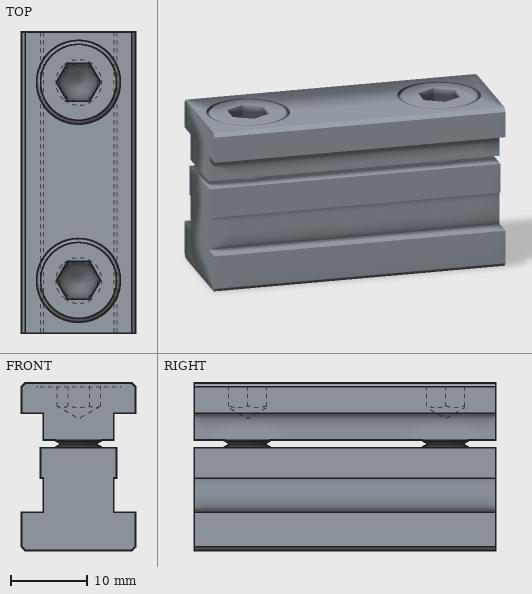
import cadquery as cq
import math

length = 39.6
width = 15.0
height = 22.0
edge_chamfer = 0.5

foot_height = 5.03
neck_width = 9.25
rail_width = 10.0
rail_height = 4.0
nut_height = 13.5

flange_height = 4.0
gap = 1.0
plate_bottom = nut_height + gap

screw_pitch = 26.0
first_screw_from_back = 6.6
first_screw_y = length / 2 - first_screw_from_back
screw_positions = [(0, first_screw_y), (0, first_screw_y - screw_pitch)]
head_diameter = 11.0
head_chamfer = 0.5
thread_diameter = 6.0
thread_pitch = gap
crest_land = thread_pitch / 8
root_land = thread_pitch / 4
thread_flank_angle = 30.0
socket_across_flats = 5.0
socket_depth = 3.0
socket_cone_angle = 120.0


def at_each_screw(feature):
    """Copies of a feature built on the Z axis, one on each screw axis."""
    screw_axes = cq.Workplane("XY").pushPoints(screw_positions)
    return screw_axes.eachpoint(lambda place: feature.val().moved(place))


def revolved(profile):
    """Solid of revolution about Z from an (r, z) profile."""
    section = cq.Workplane("XZ").polyline(profile).close()
    return section.revolve(360, (0, 0, 0), (0, 1, 0))


def stepped_bar(profile):
    """Bar along Y from the right half of its (x, z) profile, mirrored in X."""
    mirrored = [(-x, z) for x, z in reversed(profile)]
    section = cq.Workplane("XZ").polyline(profile + mirrored).close()
    return section.extrude(length / 2, both=True)


def clamping_nut():
    return stepped_bar([
        (width / 2 - edge_chamfer, 0),
        (width / 2, edge_chamfer),
        (width / 2, foot_height),
        (neck_width / 2, foot_height),
        (neck_width / 2, nut_height - rail_height),
        (rail_width / 2, nut_height - rail_height),
        (rail_width / 2, nut_height),
    ])


def clamping_plate():
    return stepped_bar([
        (neck_width / 2, plate_bottom),
        (neck_width / 2, height - flange_height),
        (width / 2, height - flange_height),
        (width / 2, height - edge_chamfer),
        (width / 2 - edge_chamfer, height),
    ])


def threaded_shanks():
    """Shanks across the gap, each with one thread groove, flat at its root."""
    flank_height = (thread_pitch - crest_land - root_land) / 2
    crest = thread_diameter / 2
    root = crest - flank_height / math.tan(math.radians(thread_flank_angle))
    groove_middle = nut_height + gap / 2
    lower_root = groove_middle - root_land / 2
    upper_root = groove_middle + root_land / 2
    shank = revolved([
        (0, nut_height),
        (crest, nut_height),
        (crest, lower_root - flank_height),
        (root, lower_root),
        (root, upper_root),
        (crest, upper_root + flank_height),
        (crest, plate_bottom),
        (0, plate_bottom),
    ])
    return at_each_screw(shank)


def head_grooves():
    """Ring grooves left between the straight bores and the chamfered screw heads."""
    outer = head_diameter / 2
    ring = revolved([
        (outer, height - head_chamfer),
        (outer, height),
        (outer - head_chamfer, height),
    ])
    return at_each_screw(ring)


def hex_sockets():
    """Hexagon sockets with corners along X and a conical, drilled bottom."""
    across_corners = socket_across_flats / math.cos(math.pi / 6)
    cone_radius = across_corners / 2
    cone_height = cone_radius / math.tan(math.radians(socket_cone_angle / 2))
    prism = (
        cq.Workplane("XY")
        .workplane(offset=height)
        .polygon(6, across_corners)
        .extrude(-(socket_depth + cone_height))
    )
    drill = revolved([
        (0, height),
        (cone_radius, height),
        (cone_radius, height - socket_depth),
        (0, height - socket_depth - cone_height),
    ])
    socket = prism.intersect(drill)
    return at_each_screw(socket)


result = (
    clamping_nut()
    .union(threaded_shanks())
    .union(clamping_plate())
    .cut(head_grooves())
    .cut(hex_sockets())
)